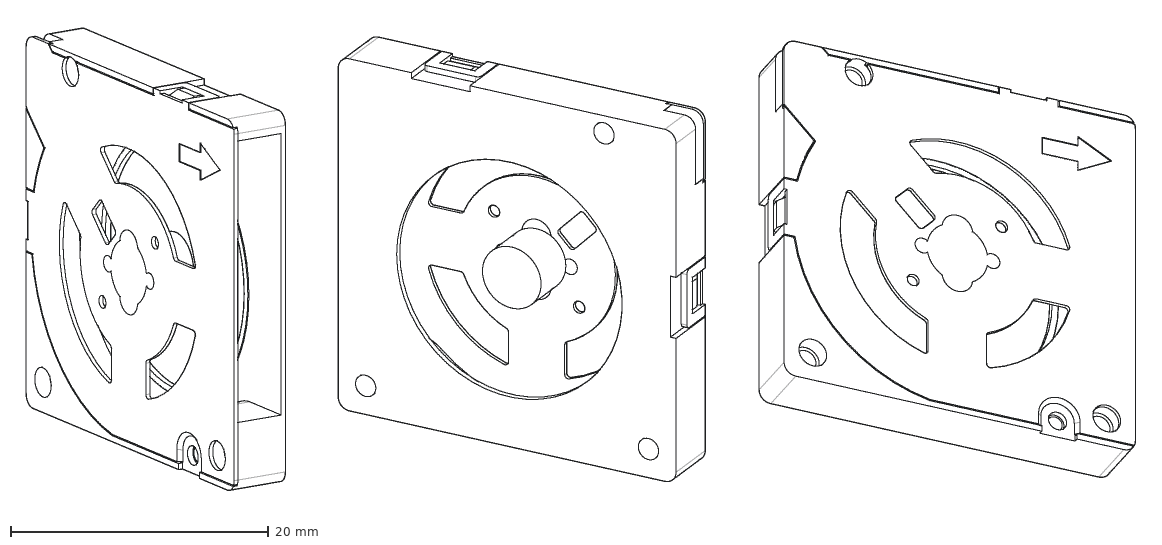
import cadquery as cq
import math

SIDE = 30.0
THICKNESS = 4.75
CORNER_RADIUS = 1.0
COVER_THICKNESS = 0.35
FLOOR_THICKNESS = 0.4
GAP = 0.1

FAN_X = 14.8
FAN_Z = 14.25
INLET_OUTER_RADIUS = 10.0
INLET_INNER_RADIUS = 7.0
INLET_CORNER_RADIUS = 0.3
SPOKE_WIDTH = 5.0
WIDE_SPOKE_WIDTH = 7.3
WIDE_SPOKE_OFFSET = 0.28
REAR_OPENING_RADIUS = 10.0
REAR_LIP_RADIUS = 10.55
REAR_LIP_HEIGHT = 0.1

SCROLL_X = 14.3
SCROLL_Z = 14.9
SCROLL_RADIUS = 13.5
OUTLET_BOTTOM = 5.65
TONGUE_RADIUS = 3.3

RIM_WIDTH = 0.5
RIM_CIRCLE_Z = 14.4
RIM_CIRCLE_RADIUS = 14.1
RIM_TOP_START = 3.3
RIM_DIAGONAL = 24.0

LEFT_TAB_Z = 15.0
TOP_TAB_X = 20.9
RECESS_WIDTH = 5.2
RECESS_DEPTH = 0.5
TAB_WIDTH = RECESS_WIDTH - 2 * GAP
TAB_LENGTH = 3.0
TAB_CORNER = 0.35
WINDOW_WIDTH = 3.1
WINDOW_END = 2.05
NOTCH_DEPTH = 0.25
LATCH_WIDTH = 2.4
LATCH_RAMP_END = 1.4

CHANNEL_LOW = 24.3
CHANNEL_HIGH = 32.8
CHANNEL_REAR = 1.6
CHANNEL_REACH = 6.0
CHANNEL_OVERRUN = 4.0

MOUNT_POINTS = [(2.45, 2.45), (SIDE - 2.45, 2.45), (6.4, 28.5)]
MOUNT_RADIUS = 0.9
MOUNT_BORE_RADIUS = 1.18
MOUNT_BORE_DEPTH = 1.4

SCREW_X = 23.5
SCREW_Z = 1.45
SCREW_RADIUS = 0.62
SCREW_BORE_RADIUS = 0.77
SCREW_BORE_DEPTH = 0.5
SCREW_DEPTH = 2.5
PAD_HALF_WIDTH = 1.5
CUTOUT_HALF_WIDTH = 1.43
CUTOUT_TOP = 3.0
CUTOUT_BEVEL = 0.34

PIN_HOLE_POINTS = [(FAN_X + 3.78, FAN_Z + 3.28), (FAN_X - 3.78, FAN_Z - 3.28)]
PIN_HOLE_RADIUS = 0.5
WIRE_WINDOW_LENGTH = 3.2
WIRE_WINDOW_WIDTH = 1.94
WIRE_WINDOW_DISTANCE = 4.8
WIRE_WINDOW_CORNER = 0.3

PLUG_RADIUS = 2.6
LOBE_RADIUS = 1.3
LOBE_OFFSET = 2.1
EAR_RADIUS = 0.65
EAR_OFFSET = 2.97
PLUG_REAR = THICKNESS - FLOOR_THICKNESS

ARROW_TAIL_X = 22.05
ARROW_NECK_X = 25.1
ARROW_TIP_X = 27.95
ARROW_Z = 25.63
ARROW_SHAFT_HALF = 0.72
ARROW_HEAD_HALF = 1.5
ARROW_DEPTH = 0.1


def front_plane(y):
    """Sketch plane facing -Y at depth y; sketch axes are X and Z."""
    return cq.Workplane("XZ", origin=(0, y, 0))


def slab(y_front, y_rear):
    """Rounded square of the full outline between two depths."""
    square = front_plane(y_front).rect(SIDE, SIDE, centered=False).extrude(y_front - y_rear)
    return square.edges("|Y").fillet(CORNER_RADIUS)


def disc(x, z, radius, y_front, y_rear):
    return front_plane(y_front).center(x, z).circle(radius).extrude(y_front - y_rear)


def bar(x_min, x_max, z_min, z_max, y_front, y_rear):
    size = (x_max - x_min, y_rear - y_front, z_max - z_min)
    return cq.Workplane("XY").box(*size, centered=False).translate((x_min, y_front, z_min))


def prism(points, y_front, y_rear):
    return front_plane(y_front).polyline(points).close().extrude(y_front - y_rear)


def at_both_tabs(shape):
    """Copies a shape made for a left-hand side at z = 0 to the left and top tab places."""
    left = shape.translate((0, 0, LEFT_TAB_Z))
    top = shape.rotate((0, 0, 0), (0, 1, 0), 90).translate((TOP_TAB_X, 0, SIDE))
    return [left, top]


def rim(grow):
    """Rim beside the cover, widened by grow on every edge that faces the cover."""
    depths = (0, COVER_THICKNESS)
    edge = RIM_WIDTH + grow
    half_recess = RECESS_WIDTH / 2 - grow
    start = RIM_TOP_START - grow
    top_left = prism(
        [(start, SIDE), (start + edge, SIDE - edge),
         (TOP_TAB_X - half_recess, SIDE - edge), (TOP_TAB_X - half_recess, SIDE)],
        *depths,
    )
    top_right = bar(TOP_TAB_X + half_recess, SIDE, SIDE - edge, SIDE, *depths)

    inside = disc(FAN_X, RIM_CIRCLE_Z, RIM_CIRCLE_RADIUS - grow, *depths)
    diagonal = RIM_DIAGONAL + grow * math.sqrt(2)
    left_bottom = LEFT_TAB_Z + half_recess
    left_upper = prism(
        [(0, left_bottom), (diagonal - left_bottom, left_bottom), (0, diagonal)], *depths
    ).cut(inside)
    left_lower = bar(0, FAN_X, 0, LEFT_TAB_Z - half_recess, *depths).cut(inside)

    pad_left = SCREW_X - PAD_HALF_WIDTH + grow
    pad_right = SCREW_X + PAD_HALF_WIDTH - grow
    bottom_left = bar(0, pad_left, 0, edge, *depths)
    bottom_right = bar(pad_right, SIDE, 0, edge, *depths)

    whole = left_lower.union(bottom_left)
    for piece in (bottom_right, left_upper, top_left, top_right):
        whole = whole.union(piece)
    return whole.intersect(slab(*depths))


def air_chamber():
    """Round scroll opening into an outlet on the +X side."""
    floor = THICKNESS - FLOOR_THICKNESS
    scroll = disc(SCROLL_X, SCROLL_Z, SCROLL_RADIUS, COVER_THICKNESS, floor)
    outlet = bar(SCROLL_X, SIDE, OUTLET_BOTTOM, SCROLL_Z + SCROLL_RADIUS, COVER_THICKNESS, floor)
    tongue_x = SCROLL_X + math.sqrt(SCROLL_RADIUS ** 2 - (SCROLL_Z - OUTLET_BOTTOM) ** 2)
    tongue = cq.selectors.NearestToPointSelector((tongue_x, floor / 2, OUTLET_BOTTOM))
    return scroll.union(outlet).edges("|Y").edges(tongue).fillet(TONGUE_RADIUS)


def wire_channel():
    low_end = (CHANNEL_REACH, CHANNEL_LOW - CHANNEL_REACH)
    low_start = (-CHANNEL_OVERRUN, CHANNEL_LOW + CHANNEL_OVERRUN)
    shift = (CHANNEL_HIGH - CHANNEL_LOW) / 2
    high_start = (low_start[0] + shift, low_start[1] + shift)
    high_end = (low_end[0] + shift, low_end[1] + shift)
    return prism([low_start, low_end, high_end, high_start], COVER_THICKNESS, CHANNEL_REAR)


def latch():
    """Ramped catch standing in a tab recess, flush with the side of the housing."""
    profile = [
        (RECESS_DEPTH, COVER_THICKNESS), (0, LATCH_RAMP_END),
        (0, WINDOW_END), (RECESS_DEPTH, WINDOW_END),
    ]
    return cq.Workplane("XY").polyline(profile).close().extrude(LATCH_WIDTH / 2, both=True)


def mount_holes(shape):
    """Counterbored holes through the whole thickness."""
    for x, z in MOUNT_POINTS:
        shape = shape.cut(disc(x, z, MOUNT_BORE_RADIUS, 0, MOUNT_BORE_DEPTH))
        shape = shape.cut(disc(x, z, MOUNT_RADIUS, 0, THICKNESS))
    return shape


def make_housing():
    body = slab(COVER_THICKNESS, THICKNESS).union(rim(0))
    body = body.cut(air_chamber()).cut(wire_channel())
    lip_front = THICKNESS - FLOOR_THICKNESS - REAR_LIP_HEIGHT
    body = body.union(disc(FAN_X, FAN_Z, REAR_LIP_RADIUS, lip_front, THICKNESS))
    body = body.cut(disc(FAN_X, FAN_Z, REAR_OPENING_RADIUS, lip_front, THICKNESS))
    half_recess = RECESS_WIDTH / 2
    recess = bar(0, RECESS_DEPTH, -half_recess, half_recess, 0, THICKNESS)
    for cutter in at_both_tabs(recess):
        body = body.cut(cutter)
    for catch in at_both_tabs(latch()):
        body = body.union(catch)
    bore_end = COVER_THICKNESS + SCREW_BORE_DEPTH
    body = body.cut(disc(SCREW_X, SCREW_Z, SCREW_BORE_RADIUS, 0, bore_end))
    body = body.cut(disc(SCREW_X, SCREW_Z, SCREW_RADIUS, 0, SCREW_DEPTH))
    return mount_holes(body)


def inlet_slots():
    """Ring around the hub, split by two straight spokes and a wide diagonal one."""
    ring = disc(FAN_X, FAN_Z, INLET_OUTER_RADIUS, 0, COVER_THICKNESS)
    ring = ring.cut(disc(FAN_X, FAN_Z, INLET_INNER_RADIUS, 0, COVER_THICKNESS))
    spokes = [(0, SPOKE_WIDTH, 0), (-90, SPOKE_WIDTH, 0), (135, WIDE_SPOKE_WIDTH, WIDE_SPOKE_OFFSET)]
    for angle, width, offset in spokes:
        spoke = bar(0, SIDE, offset - width / 2, offset + width / 2, 0, COVER_THICKNESS)
        spoke = spoke.rotate((0, 0, 0), (0, 1, 0), -angle)
        ring = ring.cut(spoke.translate((FAN_X, 0, FAN_Z)))
    return ring.edges("|Y").fillet(INLET_CORNER_RADIUS)


def wire_window():
    half_length = WIRE_WINDOW_LENGTH / 2
    z_min = WIDE_SPOKE_OFFSET - WIRE_WINDOW_WIDTH / 2
    window = bar(
        WIRE_WINDOW_DISTANCE - half_length, WIRE_WINDOW_DISTANCE + half_length,
        z_min, z_min + WIRE_WINDOW_WIDTH, 0, COVER_THICKNESS,
    )
    window = window.edges("|Y").fillet(WIRE_WINDOW_CORNER)
    return window.rotate((0, 0, 0), (0, 1, 0), -135).translate((FAN_X, 0, FAN_Z))


def screw_cutout():
    """Arched cutout over the screw pad, bevelled wider towards the front."""
    arch_z = CUTOUT_TOP - CUTOUT_HALF_WIDTH
    sketch = front_plane(COVER_THICKNESS).center(SCREW_X, arch_z)
    outline = (
        sketch.moveTo(-CUTOUT_HALF_WIDTH, -arch_z)
        .lineTo(-CUTOUT_HALF_WIDTH, 0)
        .threePointArc((0, CUTOUT_HALF_WIDTH), (CUTOUT_HALF_WIDTH, 0))
        .lineTo(CUTOUT_HALF_WIDTH, -arch_z)
        .close()
    )
    bevel_angle = math.degrees(math.atan2(CUTOUT_BEVEL, COVER_THICKNESS))
    return outline.extrude(COVER_THICKNESS, taper=-bevel_angle)


def arrow():
    points = [
        (ARROW_TAIL_X, ARROW_Z - ARROW_SHAFT_HALF), (ARROW_NECK_X, ARROW_Z - ARROW_SHAFT_HALF),
        (ARROW_NECK_X, ARROW_Z - ARROW_HEAD_HALF), (ARROW_TIP_X, ARROW_Z),
        (ARROW_NECK_X, ARROW_Z + ARROW_HEAD_HALF), (ARROW_NECK_X, ARROW_Z + ARROW_SHAFT_HALF),
        (ARROW_TAIL_X, ARROW_Z + ARROW_SHAFT_HALF),
    ]
    return prism(points, 0, ARROW_DEPTH)


def snap_tab():
    """Tab bent back from the cover edge."""
    half_width = TAB_WIDTH / 2
    tab = bar(0, RECESS_DEPTH, -half_width, half_width, 0, TAB_LENGTH)
    return tab.edges("|X and >Y").fillet(TAB_CORNER)


def snap_window():
    """Opening in a tab for the latch, with its shallow notch in the cover edge."""
    half_width = WINDOW_WIDTH / 2
    window = bar(0, RECESS_DEPTH, -half_width, half_width, COVER_THICKNESS, WINDOW_END)
    notch = bar(0, NOTCH_DEPTH, -half_width, half_width, 0, COVER_THICKNESS)
    return window.union(notch)


def plug_outline(y_front, y_rear):
    """Round plug face with a lobe above and below and a small ear on each side."""
    face = disc(FAN_X, FAN_Z, PLUG_RADIUS, y_front, y_rear)
    for side in (-1, 1):
        face = face.union(disc(FAN_X, FAN_Z + side * LOBE_OFFSET, LOBE_RADIUS, y_front, y_rear))
        face = face.union(disc(FAN_X + side * EAR_OFFSET, FAN_Z, EAR_RADIUS, y_front, y_rear))
    return face


def make_cover():
    plate = slab(0, COVER_THICKNESS).cut(rim(GAP))
    for tab in at_both_tabs(snap_tab()):
        plate = plate.union(tab)
    for window in at_both_tabs(snap_window()):
        plate = plate.cut(window)
    plate = plate.cut(inlet_slots()).cut(wire_window()).cut(screw_cutout()).cut(arrow())
    for x, z in PIN_HOLE_POINTS:
        plate = plate.cut(disc(x, z, PIN_HOLE_RADIUS, 0, COVER_THICKNESS))
    plate = plate.cut(plug_outline(0, COVER_THICKNESS))
    return mount_holes(plate)


def make_plug():
    post = disc(FAN_X, FAN_Z, PLUG_RADIUS, 0, PLUG_REAR)
    return plug_outline(0, COVER_THICKNESS).union(post)


housing = make_housing()
cover = make_cover()
plug = make_plug()

result = cq.Compound.makeCompound([part.solids().val() for part in (housing, cover, plug)])